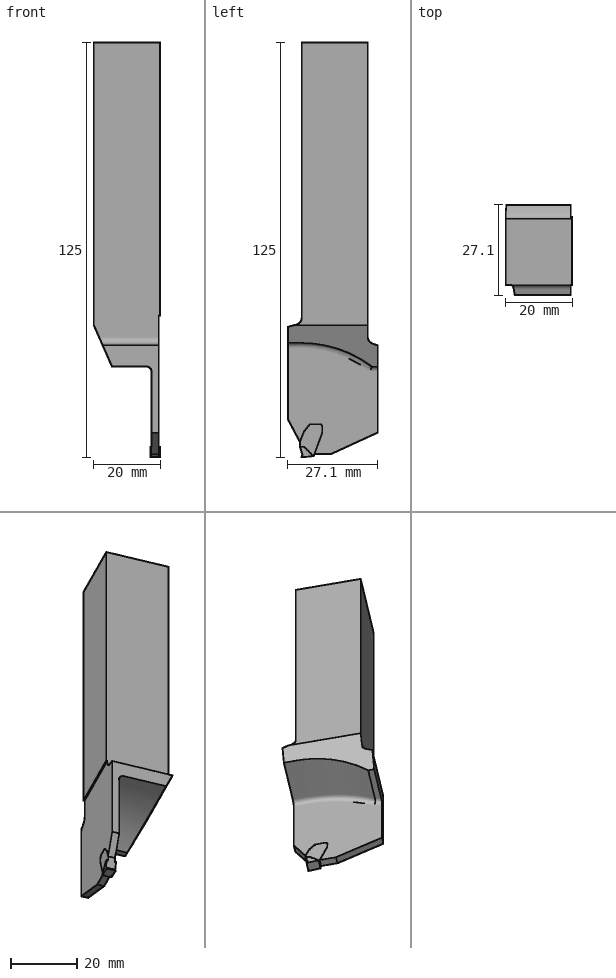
import cadquery as cq
import math

shank_width = 20.0
overall_height = 125.0

front_overhang = 3.0
rear_overhang = 4.1
head_front = -front_overhang
head_rear = shank_width + rear_overhang
side_relief = 0.4
side_relief_top = 42.8
head_side = shank_width - side_relief
front_shoulder_edge = 33.8
front_shoulder_angle = 20.0
rear_shoulder_edge = 39.4
rear_shoulder_angle = 15.0
shoulder_radius = 2.0

slant_top = 39.9
slant_bottom = 27.4
slant_run = 5.5

blade_thickness = 2.2
blade_side = head_side - blade_thickness
blade_bottom = 1.0
blade_bottom_front = 11.1
front_corner_height = 7.5
rear_corner_height = 11.5
nose_y = 20.5
nose_height = 4.6

recess_radius = 35.0
recess_center_y = 20.0
recess_center_z = -0.5
recess_fillet = 1.5
recess_top = recess_center_z + recess_radius

insert_width = 3.0
insert_side = shank_width - insert_width
tip_y = 20.1
heel_y = 16.4
heel_height = 0.4
seat_y = 16.1
rake_y = 19.8
rake_height = 0.8
land_height = 3.2
land_inner_y = 19.2
insert_top = 10.0
insert_top_rear = 17.5
rake_shoulder_y = 19.2
rake_shoulder_height = 7.9
back_y = 13.8
back_height = 7.5
back_chamfer_width = 0.4
back_chamfer_height = 0.6
margin = 6.2


def yz_plane(x):
    """Sketch plane at the given X, with sketch axes along Y and Z."""
    return cq.Workplane("YZ", origin=(x, 0, 0))


def shoulder_corner(face_y, edge_y, edge_z, angle):
    """Point where a sloping shoulder would meet the face of the shank."""
    rise = abs(edge_y - face_y) * math.tan(math.radians(angle))
    return (face_y, edge_z + rise)


def make_side_profile():
    """Shank, shoulders and blade outline, extruded through the full width."""
    front_corner = shoulder_corner(0, head_front, front_shoulder_edge, front_shoulder_angle)
    rear_corner = shoulder_corner(shank_width, head_rear, rear_shoulder_edge, rear_shoulder_angle)
    nose_slope = (nose_y - head_rear) / (nose_height - rear_corner_height)
    blade_bottom_rear = nose_y + nose_slope * (blade_bottom - nose_height)
    outline = [
        (0, overall_height),
        front_corner,
        (head_front, front_shoulder_edge),
        (head_front, front_corner_height),
        (blade_bottom_front, blade_bottom),
        (blade_bottom_rear, blade_bottom),
        (head_rear, rear_corner_height),
        (head_rear, rear_shoulder_edge),
        rear_corner,
        (shank_width, overall_height),
    ]
    profile = yz_plane(0).polyline(outline).close().extrude(shank_width)
    for y, z in (front_corner, rear_corner):
        corner_point = (shank_width / 2, y, z)
        corner_edge = cq.selectors.NearestToPointSelector(corner_point)
        profile = profile.edges(corner_edge).fillet(shoulder_radius)
    return profile


def make_side_relief():
    """Thin layer removed from the +X side of the head."""
    depth_y = head_rear - head_front + 2 * margin
    return (
        cq.Workplane("XY")
        .box(side_relief + margin, depth_y, side_relief_top + margin, centered=False)
        .translate((head_side, head_front - margin, -margin))
    )


def make_slant():
    """Wedge removed from the -X side below the shank."""
    slope = slant_run / (slant_top - slant_bottom)
    drop = slant_top + margin
    return (
        cq.Workplane("XZ", origin=(0, head_rear + margin, 0))
        .polyline([(0, slant_top), (-margin, slant_top), (-margin, -margin), (slope * drop, -margin)])
        .close()
        .extrude(head_rear - head_front + 2 * margin)
    )


def make_blade_recess():
    """Space beside the blade, with an arched roof and a rounded inner edge."""
    arc_end_height = slant_bottom - recess_center_z
    arc_end_y = recess_center_y - math.sqrt(recess_radius**2 - arc_end_height**2)
    half_angle = math.asin((recess_center_y - arc_end_y) / recess_radius) / 2
    arc_middle = (
        recess_center_y - recess_radius * math.sin(half_angle),
        recess_center_z + recess_radius * math.cos(half_angle),
    )
    front = head_front - margin
    rear = head_rear + margin
    recess = (
        yz_plane(-margin)
        .moveTo(front, -margin)
        .lineTo(front, slant_bottom)
        .lineTo(arc_end_y, slant_bottom)
        .threePointArc(arc_middle, (recess_center_y, recess_top))
        .lineTo(rear, recess_top)
        .lineTo(rear, -margin)
        .close()
        .extrude(blade_side + margin)
    )
    roof_box = cq.selectors.BoxSelector(
        (blade_side - 1.2, front + 1.2, 0), (blade_side + 1.2, rear - 1.2, overall_height)
    )
    roof_edges = recess.faces(">X").edges(roof_box)
    return recess.newObject(roof_edges.vals()).fillet(recess_fillet)


def make_insert():
    """Cutting insert: a shank as thick as the blade and a wider cutting end."""
    body_outline = [
        (tip_y, 0),
        (heel_y, heel_height),
        (seat_y, blade_bottom),
        (back_y, back_height),
        (back_y, insert_top - back_chamfer_height),
        (back_y + back_chamfer_width, insert_top),
        (insert_top_rear, insert_top),
        (rake_shoulder_y, rake_shoulder_height),
        (nose_y, nose_height),
        (nose_y, land_height),
        (rake_y, rake_height),
    ]
    cutting_end_outline = [
        (tip_y, 0),
        (heel_y, heel_height),
        (land_inner_y, land_height),
        (nose_y, land_height),
        (rake_y, rake_height),
    ]
    body = yz_plane(blade_side).polyline(body_outline).close().extrude(blade_thickness)
    cutting_end = yz_plane(insert_side).polyline(cutting_end_outline).close().extrude(insert_width)
    return body.union(cutting_end)


def make_insert_seat():
    """Opening through the blade around the insert, clear in front of its rake face."""
    outline = [
        (nose_y + margin, -margin),
        (seat_y, -margin),
        (seat_y, blade_bottom),
        (nose_y, nose_height),
        (nose_y + margin, nose_height),
    ]
    return yz_plane(insert_side).polyline(outline).close().extrude(insert_width)


def make_holder(insert):
    """Tool holder with the seat for the insert."""
    return (
        make_side_profile()
        .cut(make_side_relief())
        .cut(make_slant())
        .cut(make_blade_recess())
        .cut(make_insert_seat())
        .cut(insert)
    )


insert = make_insert()
holder = make_holder(insert)
result = cq.Compound.makeCompound([holder.solids().val(), insert.solids().val()])